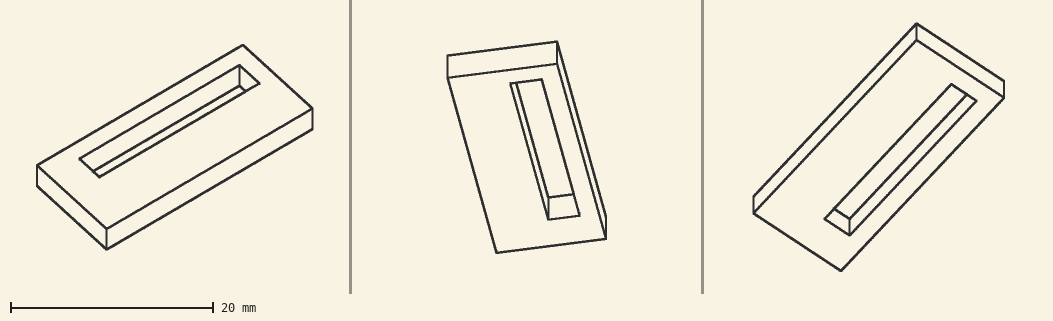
import cadquery as cq

plate_width = 11.0
plate_length = 26.0
plate_thickness = 3.0

window_width = 3.15
window_length = 20.2
left_margin = 1.92
back_margin = 1.98

window_center_x = -plate_width / 2 + left_margin + window_width / 2
window_center_y = plate_length / 2 - back_margin - window_length / 2

plate = cq.Workplane("XY").box(plate_width, plate_length, plate_thickness)

result = (
    plate.faces(">Z")
    .workplane(origin=(0, 0, 0))
    .center(window_center_x, window_center_y)
    .rect(window_width, window_length)
    .cutThruAll()
)